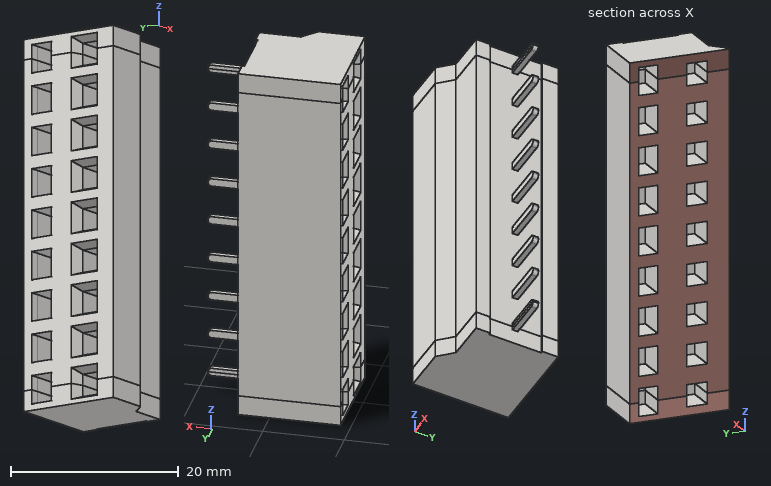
import cadquery as cq

pole_count = 9
block_height = 45.7
pitch = block_height / pole_count
end_height = pitch / 2
block_depth = 12.57
block_width = 13.0

nose_depth = 5.7
step_width = 11.15
step_end = 7.5

recess_depth = 0.27
recess_near = 2.2
recess_far = 9.25

pin_tip = 17.5
pin_center = 5.7
pin_thickness = 0.75
pin_height = 1.0
tip_radius = 0.45

hole_depth = 9.15

slot_height = 3.47
slot_mouth_near = 1.15
slot_mouth_far = 4.02
slot_throat_near = 1.25
slot_throat_far = 3.65
slot_near_taper_depth = 1.1
slot_far_taper_depth = 2.2

entry_mouth_near = 6.9
entry_mouth_far = 10.65
entry_mouth_height = 3.9
entry_throat_near = 7.45
entry_throat_far = 10.05
entry_throat_height = 2.75
entry_taper_depth = 1.65


def make_block():
    """Full-height block with the stepped front side and the recess in its pin side."""
    recess_floor = block_depth - recess_depth
    outline = [
        (0, 0),
        (block_depth, 0),
        (block_depth, -recess_near),
        (recess_floor, -recess_near),
        (recess_floor, -recess_far),
        (block_depth, -recess_far),
        (block_depth, -step_width),
        (step_end, -step_width),
        (nose_depth, -block_width),
        (0, -block_width),
    ]
    return cq.Workplane("XY").polyline(outline).close().extrude(block_height)


def make_slot(z):
    """Blind slot of constant height whose two side walls taper inward from the mouth."""
    outline = [
        (0, -slot_mouth_near),
        (slot_near_taper_depth, -slot_throat_near),
        (hole_depth, -slot_throat_near),
        (hole_depth, -slot_throat_far),
        (slot_far_taper_depth, -slot_throat_far),
        (0, -slot_mouth_far),
    ]
    slot_bottom = z - slot_height / 2
    return cq.Workplane("XY", origin=(0, 0, slot_bottom)).polyline(outline).close().extrude(slot_height)


def rectangle_across_x(x, near, far, height, z):
    """Rectangular wire across X, between two distances from the back face."""
    corners = [
        cq.Vector(x, -near, z - height / 2),
        cq.Vector(x, -far, z - height / 2),
        cq.Vector(x, -far, z + height / 2),
        cq.Vector(x, -near, z + height / 2),
    ]
    return cq.Wire.makePolygon(corners, close=True)


def make_wire_entry(z):
    """Blind rectangular hole with a funnel at its mouth."""
    mouth = rectangle_across_x(0, entry_mouth_near, entry_mouth_far, entry_mouth_height, z)
    throat = rectangle_across_x(
        entry_taper_depth, entry_throat_near, entry_throat_far, entry_throat_height, z
    )
    funnel = cq.Solid.makeLoft([mouth, throat], True)
    straight = cq.Solid.extrudeLinear(throat, [], cq.Vector(hole_depth - entry_taper_depth, 0, 0))
    return cq.Workplane(funnel.fuse(straight))


def make_pin(z):
    """Flat pin standing on the recess floor, with the upper and lower edges of its tip rounded."""
    root = block_depth - recess_depth
    pin_front = -pin_center - pin_thickness / 2
    pin = cq.Workplane("XY").box(pin_tip - root, pin_thickness, pin_height, centered=False)
    pin = pin.edges("|Y and >X").fillet(tip_radius)
    return pin.translate((root, pin_front, z - pin_height / 2))


def make_strip():
    """All poles in one piece, before the end sections are separated."""
    strip = make_block()
    for pole in range(pole_count):
        z = (pole + 0.5) * pitch
        strip = strip.cut(make_slot(z))
        strip = strip.cut(make_wire_entry(z))
        strip = strip.union(make_pin(z))
    return strip


def slice_strip(strip, z_bottom, z_top):
    """The part of the strip between two heights."""
    slab = cq.Workplane("XY").box(pin_tip, block_width, z_top - z_bottom, centered=False)
    return strip.intersect(slab.translate((0, -block_width, z_bottom)))


strip = make_strip()
bottom_end = slice_strip(strip, 0, end_height)
middle = slice_strip(strip, end_height, block_height - end_height)
top_end = slice_strip(strip, block_height - end_height, block_height)

result = cq.Compound.makeCompound([bottom_end.val(), middle.val(), top_end.val()])